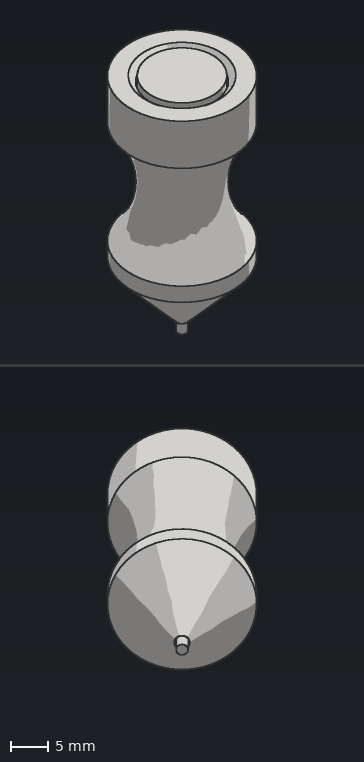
import cadquery as cq
import math

body_radius = 10.0
collar_height = 8.0
waist_height = 20.0
waist_arc_radius = 15.0
band_height = 2.75
nose_radius = 1.05

head_diameter = 12.0
rod_diameter = 1.6
rod_tip_length = 2.0
overall_height = 43.37

radial_clearance = 0.2
pocket_depth = collar_height
mouth_chamfer = 1.0

waist_top_z = -collar_height
waist_middle_z = waist_top_z - waist_height / 2
waist_bottom_z = waist_top_z - waist_height
band_bottom_z = waist_bottom_z - band_height
nose_z = -(overall_height - rod_tip_length)

waist_depth = waist_arc_radius - math.sqrt(waist_arc_radius**2 - (waist_height / 2) ** 2)
waist_radius = body_radius - waist_depth


def cylinder_down(diameter, top_z, height):
    """Cylinder on the Z axis that hangs down from top_z."""
    return cq.Workplane("XY").workplane(offset=top_z).circle(diameter / 2).extrude(-height)


def make_housing():
    """Turned outside shape with a chamfered head pocket and a through bore for the rod."""
    outside = (
        cq.Workplane("XZ")
        .moveTo(0, 0)
        .lineTo(body_radius, 0)
        .lineTo(body_radius, waist_top_z)
        .threePointArc((waist_radius, waist_middle_z), (body_radius, waist_bottom_z))
        .lineTo(body_radius, band_bottom_z)
        .lineTo(nose_radius, nose_z)
        .lineTo(0, nose_z)
        .close()
        .revolve(360, (0, 0, 0), (0, 1, 0))
    )
    pocket_diameter = head_diameter + 2 * radial_clearance
    bore_diameter = rod_diameter + 2 * radial_clearance
    pocket = cylinder_down(pocket_diameter, 0, pocket_depth)
    mouth = (
        cq.Workplane("XY")
        .circle(pocket_diameter / 2 + mouth_chamfer)
        .workplane(offset=-mouth_chamfer)
        .circle(pocket_diameter / 2)
        .loft()
    )
    bore = cylinder_down(bore_diameter, 0, -nose_z)
    return outside.cut(pocket).cut(mouth).cut(bore)


def make_plunger():
    """Head that sits on the pocket floor, flush with the housing top, joined to the long rod."""
    head = cylinder_down(head_diameter, 0, pocket_depth)
    rod = cylinder_down(rod_diameter, 0, overall_height)
    return head.union(rod)


housing = make_housing()
plunger = make_plunger()

result = cq.Compound.makeCompound([housing.val(), plunger.val()])